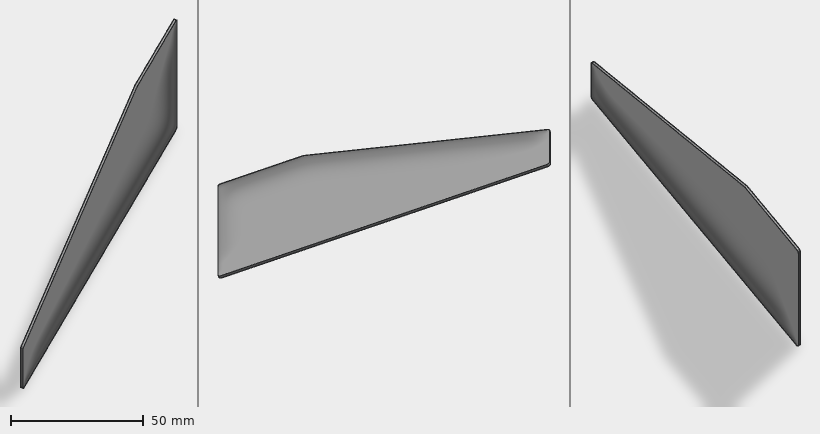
import cadquery as cq

thickness = 1.0
length = 134.0
height = 71.0

level_top_length = 34.6
front_height = 26.5
corner_radius = 1.3

back = length / 2
front = -length / 2
bottom = -height / 2
top = height / 2

outline = [
    (front, bottom),
    (back, bottom),
    (back, top),
    (back - level_top_length, top),
    (front, bottom + front_height),
]

plate = cq.Workplane("YZ").polyline(outline).close().extrude(thickness / 2, both=True)

result = plate.edges("|X").fillet(corner_radius)